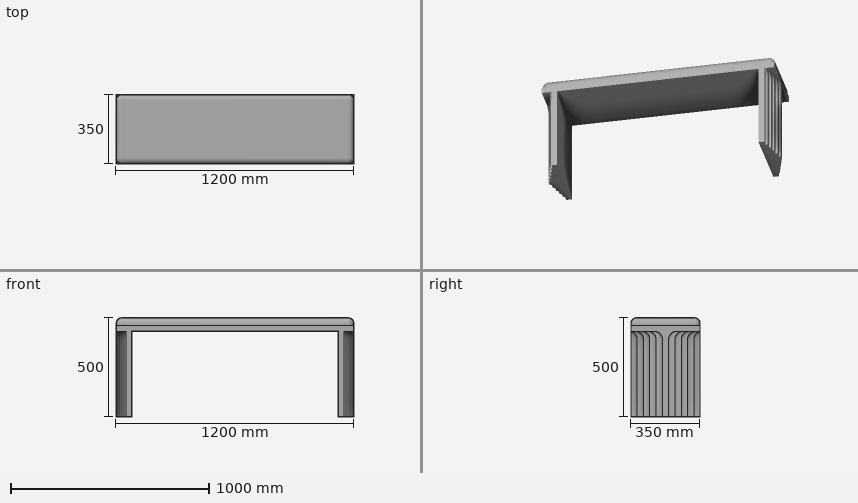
import cadquery as cq


length = 1200.0
width = 350.0
height = 500.0

cushion_thickness = 40.0
cushion_radius = 30.0
board_thickness = 30.0
board_top = height - cushion_thickness
board_bottom = board_top - board_thickness

strip_count = 11
strip_width = width / strip_count
layer_count = strip_count // 2
layer_thickness = 10.0
flare_radius = 40.0
panel_thickness = 30.0
leg_depth = layer_count * layer_thickness + panel_thickness


def make_cushion():
    """Pad with rounded upright corners and a rounded top rim."""
    pad = cq.Workplane("XY").workplane(offset=board_top).box(
        length, width, cushion_thickness, centered=(True, True, False)
    )
    return pad.edges("|Z or >Z").fillet(cushion_radius)


def make_board():
    """Flat seat board that carries the cushion."""
    return cq.Workplane("XY").workplane(offset=board_bottom).box(
        length, width, board_thickness, centered=(True, True, False)
    )


def make_leg_layer(layer):
    """Layer of the left leg, counted from the outermost; its top flares out to the board."""
    outer_x = -length / 2 + layer * layer_thickness
    half_width = (layer + 0.5) * strip_width
    flare_half_width = half_width + flare_radius
    flare_bottom = board_bottom - flare_radius
    bend = flare_radius * (1 - 0.5**0.5)
    profile = (
        cq.Workplane("YZ", origin=(outer_x, 0, 0))
        .moveTo(-half_width, 0)
        .lineTo(half_width, 0)
        .lineTo(half_width, flare_bottom)
        .threePointArc((half_width + bend, board_bottom - bend), (flare_half_width, board_bottom))
        .lineTo(-flare_half_width, board_bottom)
        .threePointArc((-half_width - bend, board_bottom - bend), (-half_width, flare_bottom))
        .close()
    )
    return profile.extrude(layer_thickness)


def make_leg():
    """Left leg: inner panel plus its layers, trimmed to the width of the bench."""
    leg = cq.Workplane("XY").box(panel_thickness, width, board_bottom, centered=(False, True, False))
    leg = leg.translate((leg_depth - panel_thickness - length / 2, 0, 0))
    for layer in range(layer_count):
        leg = leg.union(make_leg_layer(layer))
    envelope = cq.Workplane("XY").box(length, width, height, centered=(True, True, False))
    return leg.intersect(envelope)


def make_frame():
    """Seat board joined to the left leg and its mirror image."""
    left_leg = make_leg()
    right_leg = left_leg.mirror("YZ")
    return make_board().union(left_leg).union(right_leg)


frame = make_frame().solids()
cushion = make_cushion().solids()

result = cq.Compound.makeCompound([frame.val(), cushion.val()])